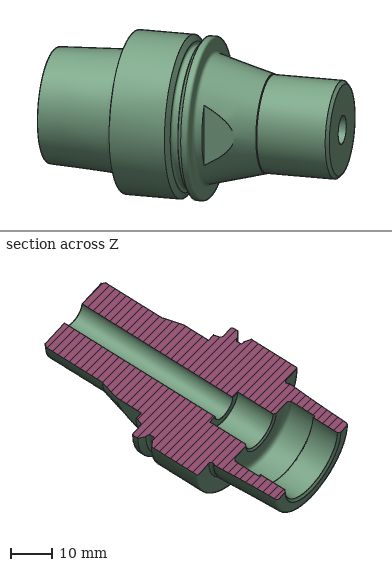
import cadquery as cq
import math

shank_length = 19.8
flange_width = 20.0
nose_end = 52.9

taper_ratio = 9.98
gauge_position = -4.0
gauge_radius = 15.0
taper_end = -2.1
tip_round = 0.8

relief_start = -1.15
relief_bottom_start = -0.9
relief_depth = 0.25
relief_round = 0.65
face_relief_radius = 16.2
face_relief_angle = 8.0

flange_radius = 20.0
flange_front_edge_round = 0.4
flange_back_edge_round = 0.6
groove_left = 15.0
groove_right = 16.9
groove_wall_radius = 18.4
groove_bottom_radius = 17.4
groove_left_round = 0.45
groove_right_round = 0.65
groove_left_lip = 14.0
groove_right_lip = 18.1

flange_back_round = 0.9
cone_start = 20.75
cone_angle = 15.0
cone_end = 34.7
cone_end_radius = 12.15
nose_start = 34.9
nose_radius = 12.0
nose_chamfer = 0.8

flat_start = 22.1
flat_distance = 13.5

mouth_radius = 10.5
mouth_chamfer = 0.6
mouth_depth = 8.0
cavity_radius = 11.1
cavity_round = 1.2
cavity_depth = 15.8
socket_radius = 5.5
socket_chamfer = 0.5
socket_depth = 27.0
through_radius = 3.5


def taper_radius(x):
    return gauge_radius + (x - gauge_position) / (2 * taper_ratio)


def arc_point(center, radius, degrees):
    angle = math.radians(degrees)
    return (center[0] + radius * math.cos(angle), center[1] + radius * math.sin(angle))


def revolve_about_x(profile):
    return profile.close().revolve(360, (0, 0, 0), (1, 0, 0))


def make_body():
    tip = -shank_length
    tip_radius = taper_radius(tip + tip_round)
    tip_center = (tip + tip_round, tip_radius - tip_round)
    shank_radius = taper_radius(taper_end)
    relief_radius = shank_radius - relief_depth

    slope = math.radians(face_relief_angle)
    relief_center_r = relief_radius + relief_round
    sloped_end_r = relief_center_r - relief_round * math.sin(slope)
    sloped_end_x = (face_relief_radius - sloped_end_r) * math.tan(slope)
    relief_center = (sloped_end_x - relief_round * math.cos(slope), relief_center_r)

    cone_rise = (cone_end - cone_start) * math.tan(math.radians(cone_angle))
    cone_radius = cone_end_radius + cone_rise
    back_angle = 270 - cone_angle
    back_center = (
        flange_width + flange_back_round,
        cone_radius + flange_back_round * math.cos(math.radians(cone_angle)),
    )

    front_edge_center = (flange_front_edge_round, flange_radius - flange_front_edge_round)
    back_edge_center = (flange_width - flange_back_edge_round, flange_radius - flange_back_edge_round)
    left_center = (groove_left + groove_left_round, groove_bottom_radius + groove_left_round)
    right_center = (groove_right - groove_right_round, groove_bottom_radius + groove_right_round)

    profile = (
        cq.Workplane("XZ")
        .moveTo(tip, 0)
        .lineTo(tip, tip_center[1])
        .threePointArc(arc_point(tip_center, tip_round, 135), (tip_center[0], tip_radius))
        .lineTo(taper_end, shank_radius)
        .lineTo(relief_start, shank_radius)
        .lineTo(relief_bottom_start, relief_radius)
        .lineTo(relief_center[0], relief_radius)
        .threePointArc(arc_point(relief_center, relief_round, 315), (sloped_end_x, sloped_end_r))
        .lineTo(0, face_relief_radius)
        .lineTo(0, front_edge_center[1])
        .threePointArc(
            arc_point(front_edge_center, flange_front_edge_round, 135),
            (front_edge_center[0], flange_radius),
        )
        .lineTo(groove_left_lip, flange_radius)
        .lineTo(groove_left, groove_wall_radius)
        .lineTo(groove_left, left_center[1])
        .threePointArc(
            arc_point(left_center, groove_left_round, 225),
            (left_center[0], groove_bottom_radius),
        )
        .lineTo(right_center[0], groove_bottom_radius)
        .threePointArc(
            arc_point(right_center, groove_right_round, 315),
            (groove_right, right_center[1]),
        )
        .lineTo(groove_right, groove_wall_radius)
        .lineTo(groove_right_lip, flange_radius)
        .lineTo(back_edge_center[0], flange_radius)
        .threePointArc(
            arc_point(back_edge_center, flange_back_edge_round, 45),
            (flange_width, back_edge_center[1]),
        )
        .lineTo(flange_width, back_center[1])
        .threePointArc(
            arc_point(back_center, flange_back_round, (180 + back_angle) / 2),
            arc_point(back_center, flange_back_round, back_angle),
        )
        .lineTo(cone_end, cone_end_radius)
        .lineTo(nose_start, nose_radius)
        .lineTo(nose_end - nose_chamfer, nose_radius)
        .lineTo(nose_end, nose_radius - nose_chamfer)
        .lineTo(nose_end, 0)
    )
    return revolve_about_x(profile)


def make_hollow():
    tip = -shank_length
    floor = tip + cavity_depth
    socket_end = tip + socket_depth
    round_center = (floor - cavity_round, cavity_radius - cavity_round)
    profile = (
        cq.Workplane("XZ")
        .moveTo(tip, 0)
        .lineTo(tip, mouth_radius + mouth_chamfer)
        .lineTo(tip + mouth_chamfer, mouth_radius)
        .lineTo(tip + mouth_depth, mouth_radius)
        .lineTo(tip + mouth_depth, cavity_radius)
        .lineTo(round_center[0], cavity_radius)
        .threePointArc(arc_point(round_center, cavity_round, 45), (floor, round_center[1]))
        .lineTo(floor, socket_radius + socket_chamfer)
        .lineTo(floor + socket_chamfer, socket_radius)
        .lineTo(socket_end, socket_radius)
        .lineTo(socket_end, through_radius)
        .lineTo(nose_end, through_radius)
        .lineTo(nose_end, 0)
    )
    return revolve_about_x(profile)


def make_flat_cutter(side):
    length = cone_end - flat_start
    thickness = flange_radius - flat_distance
    middle = ((flat_start + cone_end) / 2, side * (flat_distance + thickness / 2), 0)
    return cq.Workplane("XY").box(length, thickness, 2 * flange_radius).translate(middle)


result = make_body().cut(make_hollow())
for side in (-1, 1):
    result = result.cut(make_flat_cutter(side))